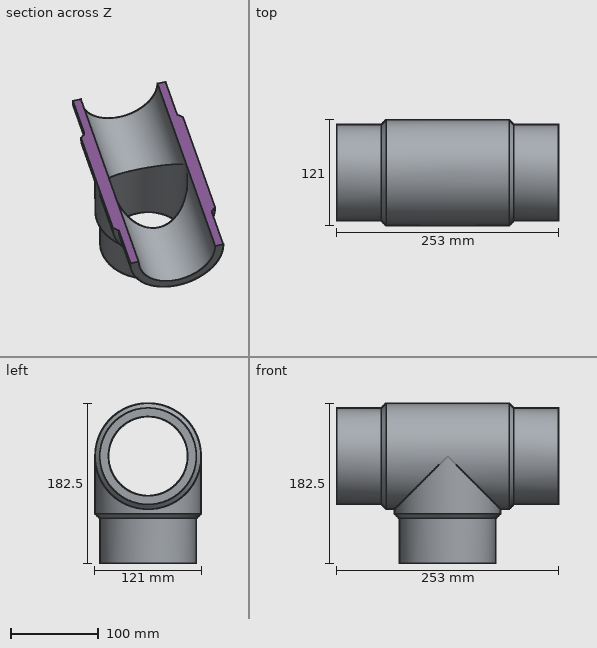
import cadquery as cq

run_length = 253.0
branch_reach = 122.0
spigot_diameter = 110.0
body_diameter = 121.0
bore_diameter = 90.0
spigot_length = 51.0

spigot_radius = spigot_diameter / 2
body_radius = body_diameter / 2
bevel = body_radius - spigot_radius
run_reach = run_length / 2


def arm(direction, reach):
    """Solid arm from the origin: thick body, bevelled shoulder, then spigot."""
    shoulder_end = reach - spigot_length
    shoulder_start = shoulder_end - bevel
    profile = (
        cq.Workplane("XZ")
        .moveTo(0, 0)
        .lineTo(body_radius, 0)
        .lineTo(body_radius, shoulder_start)
        .lineTo(spigot_radius, shoulder_end)
        .lineTo(spigot_radius, reach)
        .lineTo(0, reach)
        .close()
    )
    upright = profile.revolve(360, (0, 0, 0), (0, 1, 0))
    return orient(upright, direction)


def bore(direction, reach):
    """Cylindrical passage from the origin to the open end of an arm."""
    upright = cq.Workplane("XY").circle(bore_diameter / 2).extrude(reach)
    return orient(upright, direction)


def orient(upright, direction):
    """Turn a shape built along +Z about the Y axis to point along direction."""
    turn_about_y = {"+X": 90, "-X": -90, "-Z": 180}[direction]
    return upright.rotate((0, 0, 0), (0, 1, 0), turn_about_y)


arms = {"+X": run_reach, "-X": run_reach, "-Z": branch_reach}

result = cq.Workplane("XY")
for direction, reach in arms.items():
    result = result.add(arm(direction, reach))
result = result.combine()

for direction, reach in arms.items():
    result = result.cut(bore(direction, reach))